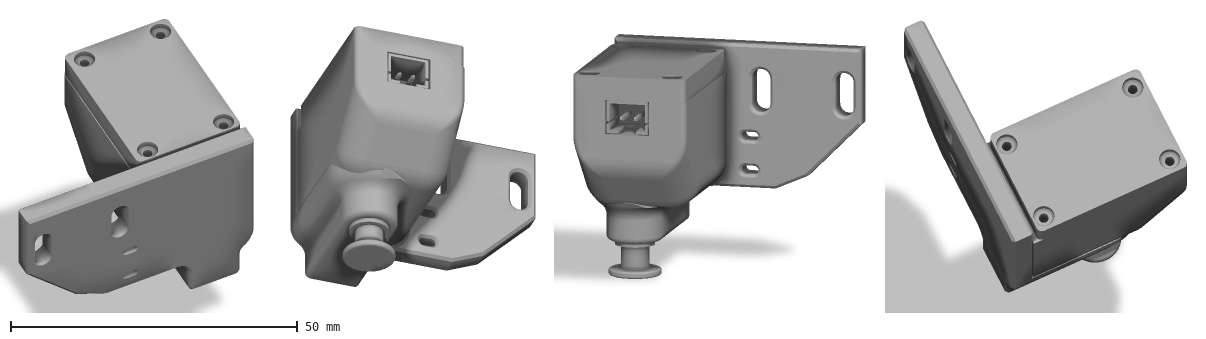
import cadquery as cq
import math


margin = 1.0
near = 0.1

left_x = -14.5
block_back_y = 7.7
block_front_y = -12.75
block_bottom_z = 7.0
block_top_z = 27.5
slope_start_z = 14.9
block_round = 5.0
upright_round = 1.0

plate_thickness = 4.0
plate_width = 44.41
plate_right_x = 19.5
plate_left_x = plate_right_x - plate_thickness
plate_front_y = block_back_y - plate_width
plate_top_z = 32.5
plate_side_bottom_z = 19.2
plate_slope_y = -27.0
plate_slope_z = plate_side_bottom_z - (plate_slope_y - plate_front_y)
plate_bottom_end_y = -21.3
edge_chamfer = 0.5

tall_slot_width = 3.3
tall_slot_length = 7.7
tall_slot_centers = [(-18.65, 24.3), (-33.65, 24.3)]
small_slot_width = 1.5
small_slot_length = 3.0
small_slot_centers = [(-16.65, 16.1), (-16.65, 10.1)]

boss_radius = 5.0
boss_blend = 2.5
back_round = 3.8
boss_bottom_round = 1.0
blend_y = boss_radius + boss_blend
blend_z = block_bottom_z - boss_blend
back_round_y = block_back_y - back_round
back_round_z = blend_z + math.sqrt(
    (back_round + boss_blend) ** 2 - (blend_y - back_round_y) ** 2
)
blend_top_z = back_round_z + margin
blend_end_x = plate_left_x + edge_chamfer
touch_share = back_round / (back_round + boss_blend)
touch_y = back_round_y + touch_share * (blend_y - back_round_y)
touch_z = back_round_z + touch_share * (blend_z - back_round_z)

lid_right_x = 14.5
lid_front_y = -12.6
spacer_top_z = 29.0
lid_top_z = 31.65
screw_spacing_x = 24.4
screw_spacing_y = 14.85
screw_inset = 2.5
counterbore_diameter = 3.7
counterbore_depth = 1.0
screw_hole_diameter = 1.7
screw_hole_bottom_z = 20.0

bushing_diameter = 7.0
bushing_drop = 0.8
bushing_depth = 5.0
shaft_diameter = 5.0
foot_diameter = 9.25
foot_bottom_z = -6.2
foot_top_z = -5.0
foot_round = 0.4
shaft_root_round = 0.25

opening_center_y = -2.2
opening_width = 7.95
opening_bottom_z = 21.4
opening_depth = 9.5
shell_center_y = -2.15
shell_width = 7.4
shell_height = 5.8
shell_bottom_z = 21.6
shell_setback = 0.25
shell_wall = 0.5
shell_cavity_depth = 7.0
notch_width = 3.1
notch_depth = 5.5
slit_bottom_z = 23.2
slit_height = 0.5
slit_depth = 6.0
pin_size = 0.64
pin_pitch = 2.5
pin_z = 24.05
pin_setback = 0.8
pin_tip_length = 0.5
pin_tip_size = 0.3


def box_between(x_min, x_max, y_min, y_max, z_min, z_max):
    size = (x_max - x_min, y_max - y_min, z_max - z_min)
    return cq.Workplane("XY").box(*size, centered=False).translate((x_min, y_min, z_min))


def upright_cylinder(diameter, z_min, z_max):
    return cq.Workplane("XY", origin=(0, 0, z_min)).circle(diameter / 2).extrude(z_max - z_min)


def screw_positions():
    first_x = left_x + screw_inset
    first_y = block_back_y - screw_inset
    return [
        (first_x + i * screw_spacing_x, first_y - j * screw_spacing_y)
        for i in range(2)
        for j in range(2)
    ]


def screw_holes(z_min, z_max):
    return (
        cq.Workplane("XY", origin=(0, 0, z_min))
        .pushPoints(screw_positions())
        .circle(screw_hole_diameter / 2)
        .extrude(z_max - z_min)
    )


def sloped_prism(bottom_z, right_x):
    """Sharp block whose left face turns into the 45 degree slope."""
    return (
        cq.Workplane("XZ", origin=(0, block_back_y, 0))
        .moveTo(left_x, block_top_z)
        .lineTo(left_x, slope_start_z)
        .lineTo(left_x + slope_start_z - bottom_z, bottom_z)
        .lineTo(right_x, bottom_z)
        .lineTo(right_x, block_top_z)
        .close()
        .extrude(block_back_y - block_front_y)
    )


def slope_rim():
    """Selects the two edges beside the slope, by their middles."""
    return cq.selectors.BoxSelector(
        (left_x + near, block_front_y - margin, blend_z),
        (0, block_back_y + margin, slope_start_z - near),
    ) - cq.selectors.ParallelDirSelector(cq.Vector(0, 1, 0))


def make_block():
    lower_edges = cq.selectors.BoxSelector(
        (left_x - margin, block_front_y - margin, block_bottom_z - margin),
        (plate_left_x - near, block_back_y + margin, slope_start_z + near),
    )
    block = sloped_prism(block_bottom_z, plate_left_x).edges(lower_edges).fillet(block_round)
    return block.faces("<X").edges("|Z").fillet(upright_round)


def make_boss():
    boss = upright_cylinder(2 * boss_radius, 0, blend_top_z)
    boss = boss.union(box_between(0, blend_end_x, -boss_radius, boss_radius, 0, blend_top_z))
    return boss.faces("<Z").edges("not >X").fillet(boss_bottom_round)


def back_blend_profile(plane):
    """Half section behind the boss: cove, back round and back face."""
    return (
        cq.Workplane(plane)
        .moveTo(0, blend_z)
        .lineTo(boss_radius, blend_z)
        .radiusArc((touch_y, touch_z), boss_blend)
        .radiusArc((block_back_y, back_round_z), -back_round)
        .lineTo(block_back_y, blend_top_z)
        .lineTo(0, blend_top_z)
        .close()
    )


def front_blend_profile(plane):
    """Half section in front of the boss: cove up to the underside of the block."""
    return (
        cq.Workplane(plane)
        .moveTo(0, blend_z)
        .lineTo(-boss_radius, blend_z)
        .radiusArc((-blend_y, block_bottom_z), -boss_blend)
        .lineTo(-blend_y, blend_top_z)
        .lineTo(0, blend_top_z)
        .close()
    )


def make_boss_blend():
    """Material that blends the boss into the block, trimmed flush with the slope."""
    axis = ((0, 0, 0), (0, 1, 0))
    blend = back_blend_profile("YZ").extrude(blend_end_x)
    blend = blend.union(front_blend_profile("YZ").extrude(blend_end_x))
    blend = blend.union(back_blend_profile("YZ").revolve(90, *axis))
    blend = blend.union(front_blend_profile("XZ").revolve(90, *axis))
    slope_end_z = blend_z + boss_blend * math.sin(math.radians(45))
    limit = sloped_prism(slope_end_z, blend_end_x).edges(slope_rim()).fillet(block_round)
    below_slope = box_between(
        left_x, blend_end_x, block_front_y, block_back_y, blend_z, slope_end_z
    )
    limit = limit.union(below_slope)
    return blend.intersect(limit)


def make_plate_blank():
    """Plate outline, with the boss and its blends hanging below it."""
    return (
        cq.Workplane("YZ", origin=(plate_left_x, 0, 0))
        .moveTo(block_back_y, plate_top_z)
        .lineTo(plate_front_y, plate_top_z)
        .lineTo(plate_front_y, plate_side_bottom_z)
        .lineTo(plate_slope_y, plate_slope_z)
        .lineTo(plate_bottom_end_y, block_bottom_z)
        .lineTo(-blend_y, block_bottom_z)
        .radiusArc((-boss_radius, blend_z), boss_blend)
        .lineTo(-boss_radius, boss_bottom_round)
        .radiusArc((-boss_radius + boss_bottom_round, 0), -boss_bottom_round)
        .lineTo(boss_radius - boss_bottom_round, 0)
        .radiusArc((boss_radius, boss_bottom_round), -boss_bottom_round)
        .lineTo(boss_radius, blend_z)
        .radiusArc((touch_y, touch_z), boss_blend)
        .radiusArc((block_back_y, back_round_z), -back_round)
        .close()
        .extrude(plate_thickness)
    )


def plate_slots(centers, length, width, angle):
    """Slots through the plate, widened by a chamfer at the left face."""
    slots = cq.Workplane("YZ", origin=(plate_left_x, 0, 0)).pushPoints(centers)
    through = slots.slot2D(length, width, angle).extrude(plate_thickness)
    flare = slots.slot2D(length + 2 * edge_chamfer, width + 2 * edge_chamfer, angle)
    return through.union(flare.extrude(edge_chamfer, taper=45))


def make_plate():
    plate = make_plate_blank()
    plate = plate.faces("<X or >X").edges().chamfer(edge_chamfer)
    plate = plate.cut(plate_slots(tall_slot_centers, tall_slot_length, tall_slot_width, 90))
    return plate.cut(plate_slots(small_slot_centers, small_slot_length, small_slot_width, 0))


def make_block_flare():
    """45 degree collar where the front and the underside of the block meet the plate."""
    half_width = -block_front_y
    height = block_top_z - block_bottom_z
    middle = (
        plate_left_x - edge_chamfer,
        block_front_y + half_width / 2,
        block_bottom_z + height / 2,
    )
    flare = (
        cq.Workplane("YZ", origin=middle)
        .sketch()
        .rect(half_width, height)
        .vertices("<X and <Y")
        .fillet(block_round)
        .finalize()
        .extrude(edge_chamfer, taper=-45)
    )
    kept = box_between(left_x, plate_right_x, plate_front_y, 0, block_bottom_z, block_top_z)
    return flare.intersect(kept)


def connector_opening():
    front_y = opening_center_y - opening_width / 2
    return box_between(
        left_x - margin, left_x + opening_depth,
        front_y, front_y + opening_width,
        opening_bottom_z, block_top_z,
    )


def plunger_bore():
    return upright_cylinder(bushing_diameter, 0, bushing_depth)


def make_housing():
    housing = make_block().union(make_boss()).union(make_boss_blend())
    housing = housing.union(make_plate()).union(make_block_flare())
    housing = housing.cut(connector_opening())
    housing = housing.cut(plunger_bore())
    return housing.cut(screw_holes(screw_hole_bottom_z, block_top_z))


def cover_layer(z_min, z_max):
    layer = box_between(left_x, lid_right_x, lid_front_y, block_back_y, z_min, z_max)
    layer = layer.edges("|Z").fillet(upright_round)
    return layer.cut(screw_holes(z_min, z_max))


def make_spacer():
    return cover_layer(block_top_z, spacer_top_z)


def make_lid():
    counterbores = (
        cq.Workplane("XY", origin=(0, 0, lid_top_z))
        .pushPoints(screw_positions())
        .circle(counterbore_diameter / 2)
        .extrude(-counterbore_depth)
    )
    return cover_layer(spacer_top_z, lid_top_z).cut(counterbores)


def make_bushing():
    bushing = upright_cylinder(bushing_diameter, -bushing_drop, bushing_depth)
    return bushing.cut(upright_cylinder(shaft_diameter, -bushing_drop, bushing_depth))


def make_plunger():
    shaft_radius = shaft_diameter / 2
    foot_radius = foot_diameter / 2
    return (
        cq.Workplane("XZ")
        .moveTo(0, bushing_depth)
        .lineTo(shaft_radius, bushing_depth)
        .lineTo(shaft_radius, foot_top_z + shaft_root_round)
        .radiusArc((shaft_radius + shaft_root_round, foot_top_z), -shaft_root_round)
        .lineTo(foot_radius - foot_round, foot_top_z)
        .radiusArc((foot_radius, foot_top_z - foot_round), foot_round)
        .lineTo(foot_radius, foot_bottom_z + foot_round)
        .radiusArc((foot_radius - foot_round, foot_bottom_z), foot_round)
        .lineTo(0, foot_bottom_z)
        .close()
        .revolve(360, (0, 0, 0), (0, 1, 0))
    )


def pin_positions():
    return [shell_center_y + side * pin_pitch / 2 for side in (-1, 1)]


def make_pin(y):
    back_x = left_x + opening_depth
    shoulder_x = left_x + pin_setback + pin_tip_length
    shoulder = cq.Workplane("YZ", origin=(shoulder_x, y, pin_z))
    shank = shoulder.rect(pin_size, pin_size).extrude(back_x - shoulder_x)
    tip = (
        shoulder.rect(pin_size, pin_size)
        .workplane(offset=-pin_tip_length)
        .rect(pin_tip_size, pin_tip_size)
        .loft()
    )
    return shank.union(tip)


def make_connector_shell():
    front_x = left_x + shell_setback
    front_y = shell_center_y - shell_width / 2
    back_y = front_y + shell_width
    top_z = shell_bottom_z + shell_height
    shell = box_between(front_x, left_x + opening_depth, front_y, back_y, shell_bottom_z, top_z)
    cavity = box_between(
        front_x, front_x + shell_cavity_depth,
        front_y + shell_wall, back_y - shell_wall,
        shell_bottom_z + shell_wall, top_z - shell_wall,
    )
    notch = box_between(
        front_x, front_x + notch_depth,
        shell_center_y - notch_width / 2, shell_center_y + notch_width / 2,
        shell_bottom_z, shell_bottom_z + shell_wall,
    )
    slits = box_between(
        front_x, front_x + slit_depth,
        front_y, back_y,
        slit_bottom_z, slit_bottom_z + slit_height,
    )
    shell = shell.cut(cavity).cut(notch).cut(slits)
    for y in pin_positions():
        shell = shell.cut(make_pin(y))
    return shell


housing = make_housing()
spacer = make_spacer()
lid = make_lid()
bushing = make_bushing()
plunger = make_plunger()
connector_shell = make_connector_shell()
connector_pins = [make_pin(y) for y in pin_positions()]

result = cq.Compound.makeCompound(
    [
        housing.val(),
        spacer.val(),
        lid.val(),
        bushing.val(),
        plunger.val(),
        connector_shell.val(),
        *[pin.val() for pin in connector_pins],
    ]
)